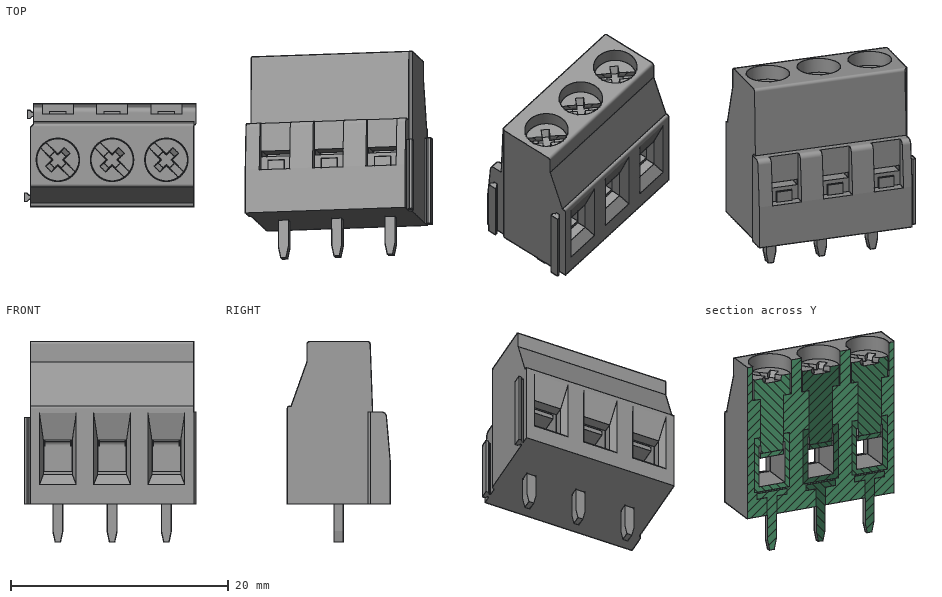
import cadquery as cq
import math


pole_count = 3
pitch = 5.0
pole_positions = [(i - (pole_count - 1) / 2) * pitch for i in range(pole_count)]

half_width = 7.53
height = 15.0
depth = 9.5
face_height = 9.03
face_radius = 0.22
ledge_depth = 0.35
top_front = 1.81
slope_top = 13.12
top_radius = 0.28
top_back = 7.66
shelf_height = 8.51
shelf_start = 7.88
shelf_end = 9.16
shelf_radius = 0.5
back_upright_height = 4.0
side_step = 0.27
side_step_start = 7.33
side_bulge = 0.21
side_bulge_start = 7.45

rail_width = 0.8
rail_neck_width = 0.4
rail_reach = 0.55
rail_lip = 0.23
rail_neck = 0.12
front_rail_y = 0.88
front_rail_height = 8.0
back_rail_y = 8.52
back_rail_height = 6.5

entry_width = 3.39
entry_bottom = 1.82
entry_top = 8.38
throat_width = 2.66
throat_bottom = 2.73
throat_top = 5.9
funnel_depth = 0.8

slot_width = 2.85
slot_front = 8.56
slot_floor = back_upright_height
slot_rib_width = 1.5
slot_rib_depth = 0.24
slot_rib_top = 5.0

cage_front = 1.68
cage_back = 6.4
cage_inner_width = 2.58
cage_wall = 0.5
cage_floor = 3.0
cage_ceiling = 7.0
cage_roof = 0.8

leg_width = 0.93
leg_front = 4.3
leg_thickness = 0.87
leg_length = 3.5
tip_length = 1.0
tip_width = 0.5
strip_thickness = 0.5
strip_width = 3.0
foot_bottom = 1.8
tongue_width = 2.4
tongue_front = 2.2
tongue_bottom = 5.77
bend_radius = 0.39

screw_y = 4.33
bore_diameter = 4.0
head_diameter = 3.88
head_top = height - 1.35
head_height = 2.0
shank_diameter = 2.5
slot_cut_width = 0.69
slot_cut_depth = 0.5
recess_depth = 0.52
recess_top_length = 2.43
recess_top_width = 0.76
recess_bottom_length = 1.48
recess_bottom_width = 0.62
slot_angle = -45

head_bottom = head_top - head_height
tongue_top = tongue_bottom + strip_thickness
strip_top = tongue_bottom - bend_radius
strip_back = cage_back + strip_thickness


def box(x, width, y_range, z_range):
    """Box centred on x, between the given Y and Z limits."""
    return (
        cq.Workplane("XY")
        .box(width, y_range[1] - y_range[0], z_range[1] - z_range[0], centered=(True, False, False))
        .translate((x, y_range[0], z_range[0]))
    )


def extrude_profile(profile, x, width):
    """Extrude a YZ profile evenly to both sides of x."""
    return profile.extrude(width / 2, both=True).translate((x, 0, 0))



def side_profile():
    corner = math.sqrt(0.5)
    fillet_y = top_front + top_radius * (1 - corner)
    fillet_z = height - top_radius * (1 - corner)
    return (
        cq.Workplane("YZ")
        .moveTo(0, 0)
        .lineTo(0, face_height - face_radius)
        .radiusArc((face_radius, face_height), face_radius)
        .lineTo(ledge_depth, face_height)
        .lineTo(top_front, slope_top)
        .lineTo(top_front, height - top_radius)
        .threePointArc((fillet_y, fillet_z), (top_front + top_radius, height))
        .lineTo(top_back - top_radius, height)
        .radiusArc((top_back, height - top_radius), top_radius)
        .lineTo(shelf_start, shelf_height)
        .lineTo(shelf_end - shelf_radius, shelf_height)
        .radiusArc((shelf_end, shelf_height - shelf_radius), shelf_radius)
        .lineTo(depth, back_upright_height)
        .lineTo(depth, 0)
        .close()
    )


def block():
    """Side profile limited to the stepped plan outline."""
    plan = (
        cq.Workplane("XY")
        .polyline([
            (-half_width, 0),
            (half_width, 0),
            (half_width, side_bulge_start),
            (half_width + side_bulge, side_bulge_start + side_bulge),
            (half_width + side_bulge, depth),
            (-half_width + side_step, depth),
            (-half_width + side_step, side_step_start + side_step),
            (-half_width, side_step_start),
        ])
        .close()
        .extrude(height)
    )
    bulge_above_shelf = box(half_width + side_bulge, 2 * side_bulge, (0, depth), (shelf_height, height))
    return extrude_profile(side_profile(), 0, 3 * half_width).intersect(plan).cut(bulge_above_shelf)


def rail(side_x, y, rail_height):
    """Dovetail rail that stands out to -X from the side at side_x."""
    outer = rail_width / 2
    neck = rail_neck_width / 2
    return (
        cq.Workplane("XY")
        .polyline([
            (side_x, y - neck),
            (side_x - rail_neck, y - neck),
            (side_x - rail_reach + rail_lip, y - outer),
            (side_x - rail_reach, y - outer),
            (side_x - rail_reach, y + outer),
            (side_x - rail_reach + rail_lip, y + outer),
            (side_x - rail_neck, y + neck),
            (side_x, y + neck),
        ])
        .close()
        .extrude(rail_height)
    )


def wire_entry(x):
    """Funnel and the straight throat that leads to the cage."""
    funnel = (
        cq.Workplane("XZ")
        .center(x, (entry_bottom + entry_top) / 2)
        .rect(entry_width, entry_top - entry_bottom)
        .workplane(offset=-funnel_depth)
        .center(0, (throat_bottom + throat_top - entry_bottom - entry_top) / 2)
        .rect(throat_width, throat_top - throat_bottom)
        .loft(ruled=True)
    )
    throat = box(x, throat_width, (funnel_depth, cage_front), (throat_bottom, throat_top))
    return funnel.union(throat)


def back_slot(x):
    """Slot in the shelf with a low rib, and the window from the slot to the cage."""
    slot = box(x, slot_width, (slot_front, depth), (slot_floor, shelf_height))
    rib = box(x, slot_rib_width, (slot_front, slot_front + slot_rib_depth), (slot_floor, slot_rib_top))
    window = box(x, throat_width, (cage_back, slot_front), (strip_top, throat_top))
    return slot.cut(rib).union(window)


def screw_bore(x):
    return (
        cq.Workplane("XY", origin=(x, screw_y, head_bottom))
        .circle(bore_diameter / 2)
        .extrude(height - head_bottom)
    )


def cage_envelope(x):
    return box(
        x,
        cage_inner_width + 2 * cage_wall,
        (cage_front, cage_back),
        (cage_floor - cage_wall, cage_ceiling + cage_roof),
    )


def make_housing():
    body = block()
    body = body.union(rail(-half_width, front_rail_y, front_rail_height))
    body = body.union(rail(-half_width + side_step, back_rail_y, back_rail_height))
    for x in pole_positions:
        body = body.cut(wire_entry(x))
        body = body.cut(cage_envelope(x))
        body = body.cut(back_slot(x))
        body = body.cut(screw_bore(x))
        body = body.cut(screw_shank(x))
        body = body.cut(make_pin(x))
    return body



def make_cage(x):
    opening = box(x, cage_inner_width, (cage_front, cage_back), (cage_floor, cage_ceiling))
    return cage_envelope(x).cut(opening).cut(screw_shank(x))



def make_pin(x):
    """Leg, foot and upright strip behind the cage, bent forward into a tongue under the screw."""
    leg = (
        cq.Workplane("XZ", origin=(x, leg_front, 0))
        .polyline([
            (-leg_width / 2, foot_bottom),
            (-leg_width / 2, tip_length - leg_length),
            (-tip_width / 2, -leg_length),
            (tip_width / 2, -leg_length),
            (leg_width / 2, tip_length - leg_length),
            (leg_width / 2, foot_bottom),
        ])
        .close()
        .extrude(-leg_thickness)
    )
    foot = box(x, strip_width, (leg_front, strip_back), (foot_bottom, foot_bottom + strip_thickness))
    upright = box(x, strip_width, (cage_back, strip_back), (foot_bottom, strip_top))
    tongue_profile = (
        cq.Workplane("YZ")
        .moveTo(cage_back, strip_top)
        .radiusArc((cage_back - bend_radius, tongue_bottom), -bend_radius)
        .lineTo(tongue_front, tongue_bottom)
        .lineTo(tongue_front, tongue_top)
        .lineTo(cage_back - bend_radius, tongue_top)
        .radiusArc((strip_back, strip_top), bend_radius + strip_thickness)
        .close()
    )
    tongue = extrude_profile(tongue_profile, x, tongue_width)
    return leg.union(foot).union(upright).union(tongue)



def screw_shank(x):
    return (
        cq.Workplane("XY", origin=(x, screw_y, tongue_top))
        .circle(shank_diameter / 2)
        .extrude(head_bottom - tongue_top)
    )


def recess_arm(x, angle):
    """One tapered bar of the cross recess."""
    return (
        cq.Workplane("XY")
        .rect(recess_top_length, recess_top_width)
        .workplane(offset=-recess_depth)
        .rect(recess_bottom_length, recess_bottom_width)
        .loft(ruled=True)
        .rotate((0, 0, 0), (0, 0, 1), angle)
        .translate((x, screw_y, head_top))
    )


def make_screw(x):
    head = (
        cq.Workplane("XY", origin=(x, screw_y, head_bottom))
        .circle(head_diameter / 2)
        .extrude(head_height)
    )
    slot = (
        cq.Workplane("XY")
        .box(bore_diameter, slot_cut_width, slot_cut_depth, centered=(True, True, False))
        .rotate((0, 0, 0), (0, 0, 1), slot_angle)
        .translate((x, screw_y, head_top - slot_cut_depth))
    )
    screw = head.union(screw_shank(x)).cut(slot)
    for turn in (0, 90):
        screw = screw.cut(recess_arm(x, slot_angle + turn))
    return screw



housing = make_housing()
cages = [make_cage(x) for x in pole_positions]
pins = [make_pin(x) for x in pole_positions]
screws = [make_screw(x) for x in pole_positions]

result = cq.Compound.makeCompound([body.val() for body in [housing, *cages, *pins, *screws]])